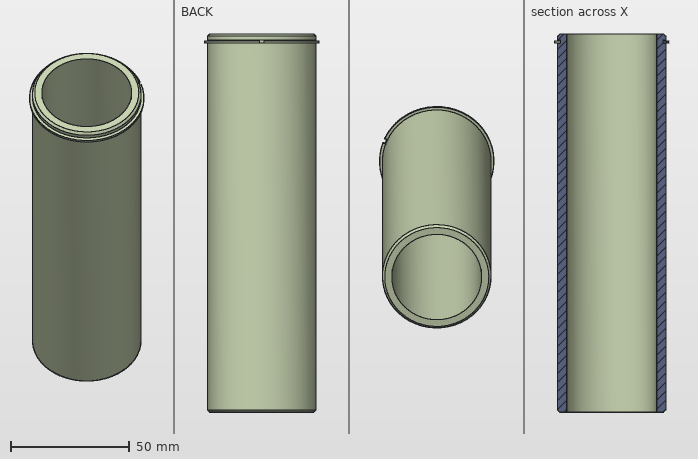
import cadquery as cq

sleeve_length = 160.0
sleeve_outer_diameter = 46.0
sleeve_bore_diameter = 38.0
end_chamfer = 1.0

ring_outer_diameter = 48.4
ring_thickness = 1.0
ring_gap_width = 2.0
groove_width = 1.3
groove_depth = 1.25
groove_top_offset = 2.7

groove_floor_diameter = sleeve_outer_diameter - 2 * groove_depth
groove_base_z = sleeve_length - groove_top_offset - groove_width


def tube(outer_diameter, inner_diameter, height, base_z):
    """Upright hollow cylinder centred on the Z axis."""
    return (
        cq.Workplane("XY")
        .workplane(offset=base_z)
        .circle(outer_diameter / 2)
        .circle(inner_diameter / 2)
        .extrude(height)
    )


def make_sleeve():
    """Plain tube, chamfered outside at both ends, with an outer ring groove."""
    blank = cq.Workplane("XY").circle(sleeve_outer_diameter / 2).extrude(sleeve_length)
    chamfered = blank.faces("<Z or >Z").edges().chamfer(end_chamfer)
    bored = chamfered.faces(">Z").workplane().hole(sleeve_bore_diameter)
    groove = tube(ring_outer_diameter, groove_floor_diameter, groove_width, groove_base_z)
    return bored.cut(groove)


def make_retaining_ring():
    """Flat split ring resting on the lower wall of the groove, open toward +Y."""
    ring = tube(ring_outer_diameter, groove_floor_diameter, ring_thickness, groove_base_z)
    gap = (
        cq.Workplane("XY")
        .workplane(offset=groove_base_z)
        .rect(ring_gap_width, ring_outer_diameter)
        .extrude(ring_thickness)
        .translate((0, ring_outer_diameter / 2, 0))
    )
    return ring.cut(gap)


sleeve = make_sleeve()
retaining_ring = make_retaining_ring()

result = cq.Compound.makeCompound([sleeve.val(), retaining_ring.val()])